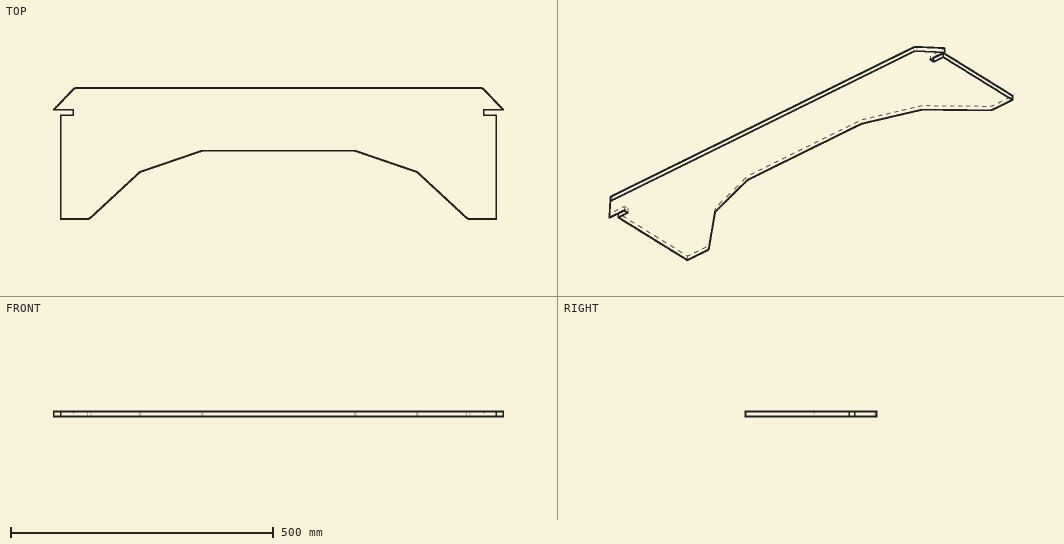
import cadquery as cq

length = 856.56
width = 249.91
thickness = 10.0

half_length = length / 2
hook_y = 208.0
back_edge_half = 388.5
slot_width = 10.0
slot_depth = 24.0

body_half = 415.0
foot_width = 54.5
foot_inner_x = body_half - foot_width
slot_floor_x = body_half - slot_depth
slot_front_y = hook_y - slot_width

knee_x = 264.0
knee_y = 89.5
crown_half = 145.5
crown_y = 130.0

corner_radius = 10.0

blunt_corners = [
    (back_edge_half, width),
    (foot_inner_x, 0),
    (knee_x, knee_y),
    (crown_half, crown_y),
]


def mirrored(points):
    """Mirror points across the centre line, reversed to keep the outline order."""
    return [(-x, y) for x, y in reversed(points)]


def sharp_plate():
    """Flat plate with every corner still sharp."""
    right_half = [
        (back_edge_half, width),
        (half_length, hook_y),
        (slot_floor_x, hook_y),
        (slot_floor_x, slot_front_y),
        (body_half, slot_front_y),
        (body_half, 0),
        (foot_inner_x, 0),
        (knee_x, knee_y),
        (crown_half, crown_y),
    ]
    outline = right_half + mirrored(right_half)
    return cq.Workplane("XY").polyline(outline).close().extrude(thickness)


def round_blunt_corners(plate):
    """Fillet the upright edges standing on the blunt corners."""
    for x, y in blunt_corners + mirrored(blunt_corners):
        corner_edge = cq.selectors.NearestToPointSelector((x, y, thickness / 2))
        plate = plate.edges("|Z").edges(corner_edge).fillet(corner_radius)
    return plate


result = round_blunt_corners(sharp_plate())